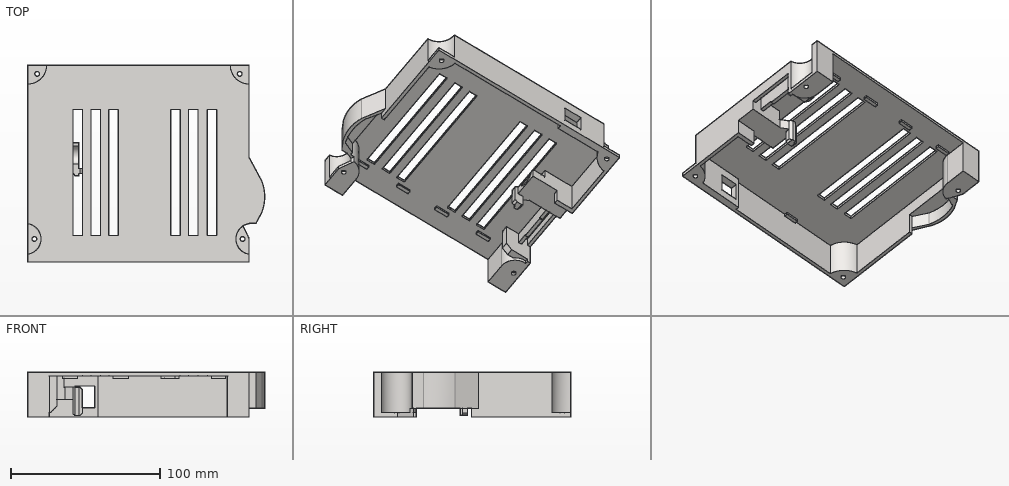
import cadquery as cq

CASE_X = 148.3
CASE_Y = 132.0
CASE_Z = 30.0
WALL = 2.4
ROOF_Z = CASE_Z - WALL

RECESS_FLOOR = 3.0
SCREW_D = 3.0
REAR_RECESS_R = 12.7
REAR_SCREW_INSET_X = 6.4
REAR_SCREW_Y = 126.1
FRONT_RECESS_R = 10.3
FRONT_RECESS_INSET = -1.5
FRONT_SCREW_INSET_X = 4.5
FRONT_SCREW_Y = 15.5
FRONT_POST_WIDTH = 14.5
FRONT_POST_R = 11.1

SLOT_WIDTH = 6.2
SLOT_Y0 = 18.0
SLOT_LENGTH = 84.2
SLOT_XS = (30.5, 42.4, 54.3, 96.0, 107.8, 120.4)

WHEEL_Y = 43.8
HOUSING_TIP_X = 158.8
HOUSING_ARC_X = 156.8
HOUSING_ARC_HALF = 10.6
HOUSING_HALF = 26.4
HOUSING_FRONT_Y = 26.0
HOUSING_Z0 = 5.9
POCKET_ARC_X = 154.4
POCKET_ARC_HALF = 11.6
WHEEL_POCKET_Z = 17.0
MOUTH_Y0 = 28.6
MOUTH_Y1 = 65.5
MOUTH_FLARE = ((142.2, MOUTH_Y0), (CASE_X, 15.9))

LEFT_OPEN_Y0 = 28.6
LEFT_OPEN_Y1 = 62.9
LEFT_OPEN_Z = 20.0
LEFT_STEP_Y = 77.2
LEFT_STEP_Z = 11.9

REAR_PAD_X = 47.0
REAR_PAD_DEPTH = 2.4
WINDOW_X0 = 31.8
WINDOW_X1 = 44.8
WINDOW_Z0 = 6.4
WINDOW_Z1 = 20.8
REAR_TAB_SPAN = (91.5, 101.2)

TAB_SPANS = ((23.2, 33.4), (57.0, 67.3), (89.1, 98.6), (123.0, 132.6))
TAB_HEIGHT = 1.7
TAB_DEPTH = 2.4
TAB_Y0 = 12.7

RIB_X = 19.5
RIB_DEPTH = 4.8
RIB_Z0 = 3.0
RIB_CHAMFER = 4.3

LINTEL_X0 = 7.1
LINTEL_Z = 17.0
LINTEL_DROP_Z = 15.9
LINTEL_DROP_Y0 = 36.2
LINTEL_DROP_Y1 = 52.9

HANGER_X = 24.5
ARM_X = 34.3
ARM_FRONT_X = 25.0
ARM_REAR_Y = 80.0
SADDLE_Y = 71.8
SADDLE_R = 6.0
FINGER_X0 = 30.2
FINGER_SIDE_Y = 59.7
FINGER_TIP_X = 31.8
FINGER_Y0 = 57.8
FINGER_Z0 = 1.1
FINGER_CHAMFER = 1.3
HOOK_X = 36.7
HOOK_Y0 = 59.4
HOOK_CHAMFER = 1.6


def block(x0, x1, y0, y1, z0, z1):
    """Box given by its limits along each axis."""
    return cq.Workplane("XY").box(x1 - x0, y1 - y0, z1 - z0, centered=False).translate((x0, y0, z0))


def cylinder(x, y, radius, z0, z1):
    """Upright cylinder."""
    return cq.Workplane("XY", origin=(x, y, z0)).circle(radius).extrude(z1 - z0)


def from_side(inset, right):
    """X position at an inset from the left or the right side."""
    return CASE_X - inset if right else inset


def shell():
    """Roof with left, right and rear walls; front and underside are open."""
    body = block(0, CASE_X, 0, CASE_Y, 0, CASE_Z)
    return body.cut(block(WALL, CASE_X - WALL, 0, CASE_Y - WALL, 0, ROOF_Z))


def rear_wall_details():
    """Thickened pad around the window and one tab under the roof."""
    inner_y = CASE_Y - WALL
    pad = block(0, REAR_PAD_X, inner_y - REAR_PAD_DEPTH, CASE_Y, 0, CASE_Z)
    tab = block(*REAR_TAB_SPAN, inner_y - TAB_DEPTH, CASE_Y, ROOF_Z - TAB_HEIGHT, CASE_Z)
    return pad.union(tab)


def front_details():
    """Row of tabs under the roof and the chamfered rib at the left post."""
    rib_y = LEFT_OPEN_Y0 - RIB_DEPTH
    details = block(WALL, RIB_X, rib_y, LEFT_OPEN_Y0, RIB_Z0, CASE_Z)
    details = details.edges("|Y and >X and <Z").chamfer(RIB_CHAMFER)
    for x0, x1 in TAB_SPANS:
        details = details.union(
            block(x0, x1, TAB_Y0, TAB_Y0 + TAB_DEPTH, ROOF_Z - TAB_HEIGHT, CASE_Z)
        )
    return details


def posts():
    """Solid material around the four corner recesses."""
    bosses = cq.Workplane("XY")
    for right in (False, True):
        rear = cylinder(from_side(0, right), CASE_Y, REAR_RECESS_R + WALL, 0, CASE_Z)
        round_x = from_side(FRONT_POST_WIDTH - FRONT_POST_R, right)
        front = cylinder(round_x, FRONT_SCREW_Y, FRONT_POST_R, 0, CASE_Z)
        edges = sorted((from_side(0, right), from_side(FRONT_POST_WIDTH, right)))
        front = front.union(block(*edges, 0, FRONT_SCREW_Y, 0, CASE_Z))
        bosses = bosses.add(rear.union(front))
    return bosses.combine().intersect(block(0, CASE_X, 0, CASE_Y, 0, CASE_Z))


def corner_recesses():
    """Round recesses open to the top and sides, each with a screw hole."""
    cuts = cq.Workplane("XY")
    top = CASE_Z + 1.6
    for right in (False, True):
        rear_x = from_side(0, right)
        front_x = from_side(FRONT_RECESS_INSET, right)
        cuts = cuts.add(cylinder(rear_x, CASE_Y, REAR_RECESS_R, RECESS_FLOOR, top))
        cuts = cuts.add(cylinder(front_x, FRONT_SCREW_Y, FRONT_RECESS_R, RECESS_FLOOR, top))
        screws = (
            (from_side(REAR_SCREW_INSET_X, right), REAR_SCREW_Y),
            (from_side(FRONT_SCREW_INSET_X, right), FRONT_SCREW_Y),
        )
        for x, y in screws:
            cuts = cuts.add(cylinder(x, y, SCREW_D / 2, -1.6, top))
    return cuts.combine()


def housing():
    """Rounded nose around the wheel, cut off square at the front."""
    root_x = CASE_X - WALL
    solid = (
        cq.Workplane("XY", origin=(0, 0, HOUSING_Z0))
        .moveTo(root_x, WHEEL_Y - HOUSING_HALF)
        .lineTo(CASE_X, WHEEL_Y - HOUSING_HALF)
        .lineTo(HOUSING_ARC_X, WHEEL_Y - HOUSING_ARC_HALF)
        .threePointArc((HOUSING_TIP_X, WHEEL_Y), (HOUSING_ARC_X, WHEEL_Y + HOUSING_ARC_HALF))
        .lineTo(CASE_X, WHEEL_Y + HOUSING_HALF)
        .lineTo(root_x, WHEEL_Y + HOUSING_HALF)
        .close()
        .extrude(CASE_Z - HOUSING_Z0)
    )
    return solid.intersect(block(0, HOUSING_TIP_X, HOUSING_FRONT_Y, CASE_Y, 0, CASE_Z))


def wheel_pocket():
    """Space for the wheel, open below, with a flared mouth in the wall."""
    wall_x = CASE_X - WALL
    pocket = (
        cq.Workplane("XY")
        .moveTo(wall_x, MOUTH_Y0)
        .lineTo(POCKET_ARC_X, WHEEL_Y - POCKET_ARC_HALF)
        .threePointArc((HOUSING_TIP_X - WALL, WHEEL_Y), (POCKET_ARC_X, WHEEL_Y + POCKET_ARC_HALF))
        .lineTo(CASE_X, MOUTH_Y1)
        .lineTo(wall_x, MOUTH_Y1)
        .close()
        .extrude(WHEEL_POCKET_Z)
    )
    mouth = (
        cq.Workplane("XY")
        .polyline([*MOUTH_FLARE, (CASE_X, MOUTH_Y1), (MOUTH_FLARE[0][0], MOUTH_Y1)])
        .close()
        .extrude(HOUSING_Z0)
    )
    return pocket.union(mouth)


def lintel():
    """Strip set back behind the top of the left opening, deeper in its middle."""
    x0, x1 = LINTEL_X0, LINTEL_X0 + WALL
    strip = block(x0, x1, LEFT_OPEN_Y0, LEFT_OPEN_Y1, LINTEL_Z, CASE_Z)
    return strip.union(block(x0, x1, LINTEL_DROP_Y0, LINTEL_DROP_Y1, LINTEL_DROP_Z, CASE_Z))


def latch():
    """Arm hanging behind the left wall, with a saddle, a finger and a hook."""
    hanger = block(0, HANGER_X, LEFT_OPEN_Y1, ARM_REAR_Y, LEFT_STEP_Z, CASE_Z)
    foot = block(0, FRONT_POST_WIDTH, LEFT_STEP_Y, ARM_REAR_Y, 0, CASE_Z)
    tip = [(FINGER_X0, FINGER_SIDE_Y), (FINGER_TIP_X, FINGER_Y0), (ARM_X, FINGER_Y0)]
    arm_outline = [
        (0, LEFT_OPEN_Y1),
        (ARM_FRONT_X, LEFT_OPEN_Y1),
        *tip,
        (ARM_X, ARM_REAR_Y),
        (0, ARM_REAR_Y),
    ]
    arm = (
        cq.Workplane("XY", origin=(0, 0, LEFT_STEP_Z))
        .polyline(arm_outline)
        .close()
        .extrude(LEFT_OPEN_Z - LEFT_STEP_Z)
    )
    saddle = (
        cq.Workplane("YZ", origin=(HANGER_X, 0, 0))
        .center(SADDLE_Y, LEFT_OPEN_Z)
        .circle(SADDLE_R)
        .extrude(ARM_X - HANGER_X)
    )
    finger = (
        cq.Workplane("XY", origin=(0, 0, FINGER_Z0))
        .polyline([*tip, (ARM_X, LEFT_OPEN_Y1), (FINGER_X0, LEFT_OPEN_Y1)])
        .close()
        .extrude(LEFT_OPEN_Z - FINGER_Z0)
        .edges("<X and <Z")
        .chamfer(FINGER_CHAMFER)
    )
    hook = block(FINGER_TIP_X, HOOK_X, HOOK_Y0, LEFT_OPEN_Y1, FINGER_Z0, LEFT_OPEN_Z)
    hook = hook.faces(">X").edges("|Y").chamfer(HOOK_CHAMFER)
    return hanger.union(foot).union(arm.cut(saddle)).union(finger).union(hook)


result = shell().union(rear_wall_details()).union(posts())
result = result.union(front_details())
result = result.union(housing()).cut(wheel_pocket())

result = result.cut(block(0, WALL, LEFT_OPEN_Y0, LEFT_OPEN_Y1, 0, LEFT_OPEN_Z))
result = result.cut(block(0, WALL, LEFT_OPEN_Y1, LEFT_STEP_Y, 0, LEFT_STEP_Z))

rear_pad_y = CASE_Y - WALL - REAR_PAD_DEPTH
result = result.cut(block(WINDOW_X0, WINDOW_X1, rear_pad_y, CASE_Y, WINDOW_Z0, WINDOW_Z1))

result = result.union(lintel()).union(latch())

for slot_x in SLOT_XS:
    result = result.cut(
        block(slot_x, slot_x + SLOT_WIDTH, SLOT_Y0, SLOT_Y0 + SLOT_LENGTH, ROOF_Z, CASE_Z)
    )

result = result.cut(corner_recesses())